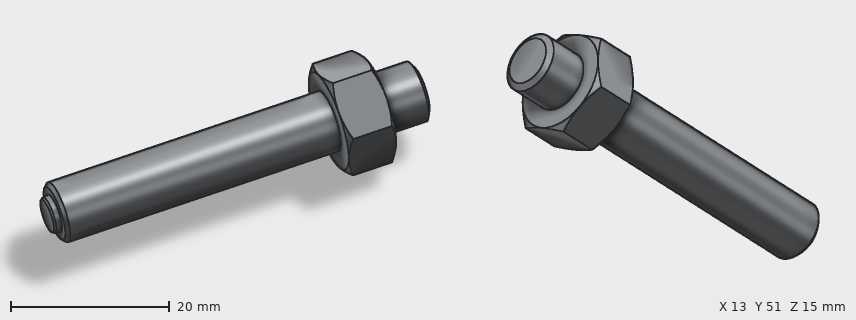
import cadquery as cq
import math

overall_length = 51.0

screw_diameter = 8.0
shank_chamfer = 0.5
front_chamfer_angle = 45.0
back_chamfer_angle = 60.0
tip_root_diameter = 5.0
tip_length = 1.0
tip_taper_angle = 10.0
tip_bevel_length = 0.27
tip_bevel_angle = 35.0

nut_across_flats = 13.0
nut_thickness = 6.5
nut_back_setback = 6.0
nut_face_diameter = 12.95
nut_chamfer_angle = 30.0
nut_sides = 6

nut_across_corners = nut_across_flats / math.cos(math.pi / nut_sides)
nut_back = overall_length - nut_back_setback
nut_front = nut_back - nut_thickness


def revolve_about_y(points):
    """Solid of revolution from (radius, y) points."""
    profile = cq.Workplane("XY").polyline(points).close()
    return profile.revolve(360, (0, 0, 0), (0, 1, 0))


def radius_drop(length, angle):
    """Radius lost along a cone of the given axial length, at the given angle from the axis."""
    return length * math.tan(math.radians(angle))


def make_screw():
    shank_radius = screw_diameter / 2
    front_radius = shank_radius - radius_drop(shank_chamfer, front_chamfer_angle)
    back_radius = shank_radius - radius_drop(shank_chamfer, back_chamfer_angle)
    tip_root_radius = tip_root_diameter / 2
    bevel_radius = tip_root_radius - radius_drop(tip_length - tip_bevel_length, tip_taper_angle)
    tip_end_radius = bevel_radius - radius_drop(tip_bevel_length, tip_bevel_angle)
    return revolve_about_y([
        (0, 0),
        (tip_end_radius, 0),
        (bevel_radius, tip_bevel_length),
        (tip_root_radius, tip_length),
        (front_radius, tip_length),
        (shank_radius, tip_length + shank_chamfer),
        (shank_radius, overall_length - shank_chamfer),
        (back_radius, overall_length),
        (0, overall_length),
    ])


def make_nut():
    hexagon = (
        cq.Workplane("XZ", origin=(0, nut_back, 0))
        .transformed(rotate=(0, 0, 90))
        .polygon(nut_sides, nut_across_corners)
        .extrude(nut_thickness)
    )
    hole_radius = screw_diameter / 2
    face_radius = nut_face_diameter / 2
    corner_radius = nut_across_corners / 2
    chamfer_depth = (corner_radius - face_radius) * math.tan(math.radians(nut_chamfer_angle))
    chamfered_ring = revolve_about_y([
        (hole_radius, nut_front),
        (face_radius, nut_front),
        (corner_radius, nut_front + chamfer_depth),
        (corner_radius, nut_back - chamfer_depth),
        (face_radius, nut_back),
        (hole_radius, nut_back),
    ])
    return hexagon.intersect(chamfered_ring).solids()


screw = make_screw()
nut = make_nut()
result = cq.Compound.makeCompound([screw.val(), nut.val()])